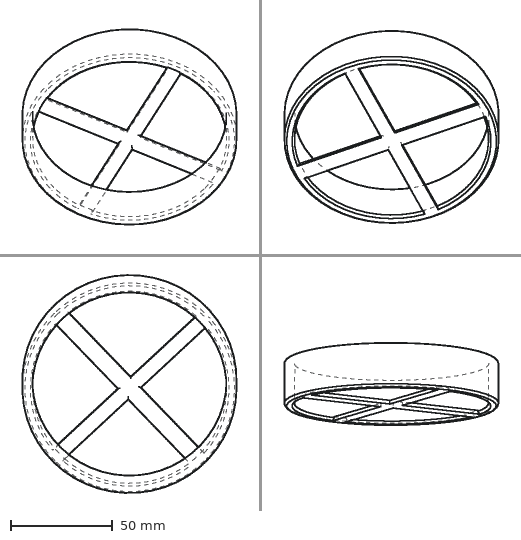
import cadquery as cq

outer_diameter = 105.5
inner_diameter = 95.5
ring_height = 22.0
top_fillet = 1.0

bevel_height = 1.4
bevel_width = 1.2
kink_height = 0.69
kink_inset = 0.4

spoke_thickness = 2.0
spoke_fillet = 0.79
x_spoke_width = 8.5
y_spoke_width = 7.3

outer_radius = outer_diameter / 2
inner_radius = inner_diameter / 2


def make_ring():
    """Revolved ring wall with rounded upper rims and double-bevelled lower rims."""
    profile = [
        (inner_radius + bevel_width, 0),
        (outer_radius - bevel_width, 0),
        (outer_radius - kink_inset, kink_height),
        (outer_radius, bevel_height),
        (outer_radius, ring_height),
        (inner_radius, ring_height),
        (inner_radius, bevel_height),
        (inner_radius + kink_inset, kink_height),
    ]
    ring = (
        cq.Workplane("XZ")
        .polyline(profile)
        .close()
        .revolve(360, (0, 0, 0), (0, 1, 0))
    )
    return ring.faces(">Z").edges().fillet(top_fillet)


def make_spoke(width):
    """Bar along X whose two long upper edges are rounded."""
    length = outer_radius + inner_radius
    bar = cq.Workplane("XY").box(length, width, spoke_thickness, centered=(True, True, False))
    return bar.faces(">Z").edges("|X").fillet(spoke_fillet)


x_spoke = make_spoke(x_spoke_width)
y_spoke = make_spoke(y_spoke_width).rotate((0, 0, 0), (0, 0, 1), 90)
result = make_ring().union(x_spoke).union(y_spoke)